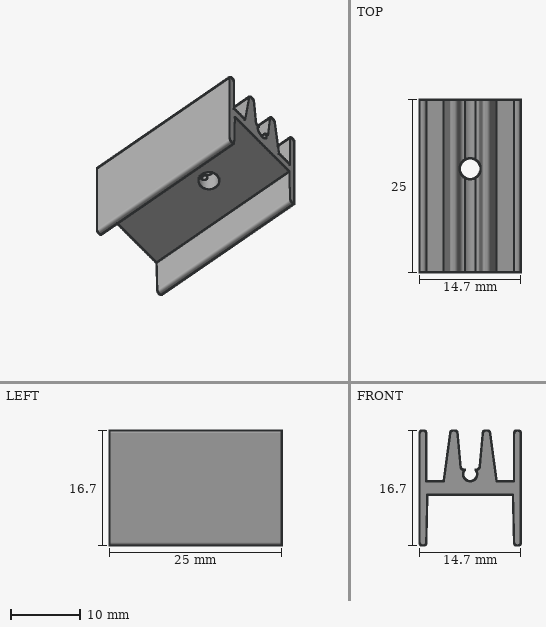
import cadquery as cq
import math

WIDTH = 14.7
LENGTH = 25.0
HEIGHT = 16.7

WEB_THICKNESS = 2.0
WEB_TOP = WEB_THICKNESS / 2
WEB_BOTTOM = -WEB_THICKNESS / 2

WALL_THICKNESS = 1.0
WALL_ROOT_THICKNESS = 1.17

FIN_OUTER_ROOT = 3.85
FIN_OUTER_TIP = 2.85
FIN_INNER_ROOT = 1.33
FIN_INNER_TIP = 1.85

TIP_RADIUS = 0.45

GROOVE_RADIUS = 1.0
GROOVE_HALF_MOUTH = 0.75
GROOVE_CENTER_Z = WEB_TOP + GROOVE_RADIUS
SHOULDER_Z = GROOVE_CENTER_Z + math.sqrt(GROOVE_RADIUS**2 - GROOVE_HALF_MOUTH**2)
SHOULDER_RADIUS = 0.45

HOLE_DIAMETER = 3.0
HOLE_Y = 2.5


def extrude_profile(sketch):
    """Extrude an XZ outline over the full length, centred on Y = 0."""
    return sketch.extrude(LENGTH / 2, both=True)


def make_body():
    """Sharp-cornered body with side walls, web and centre fins."""
    outer = WIDTH / 2
    inner = outer - WALL_THICKNESS
    inner_root = outer - WALL_ROOT_THICKNESS
    top = HEIGHT / 2
    bottom = -HEIGHT / 2
    right_half = [
        (0, WEB_BOTTOM),
        (inner_root, WEB_BOTTOM),
        (inner, bottom),
        (outer, bottom),
        (outer, top),
        (inner, top),
        (inner, WEB_TOP),
        (FIN_OUTER_ROOT, WEB_TOP),
        (FIN_OUTER_TIP, top),
        (FIN_INNER_TIP, top),
        (FIN_INNER_ROOT, SHOULDER_Z),
        (0, SHOULDER_Z),
    ]
    half = extrude_profile(cq.Workplane("XZ").polyline(right_half).close())
    return half.union(half.mirror("YZ")).clean()


def round_tips(body):
    """Round the free ends of all walls and fins."""
    body = body.edges("|Y and >Z").fillet(TIP_RADIUS)
    return body.edges("|Y and <Z").fillet(TIP_RADIUS)


def round_shoulders(body):
    """Blend the inner fin faces into the shoulders beside the groove."""
    for side in (-1, 1):
        corner = (side * FIN_INNER_ROOT, 0, SHOULDER_Z)
        body = body.edges(cq.NearestToPointSelector(corner)).fillet(SHOULDER_RADIUS)
    return body


def make_groove():
    """Round channel running the full length."""
    return extrude_profile(cq.Workplane("XZ").center(0, GROOVE_CENTER_Z).circle(GROOVE_RADIUS))


def make_hole():
    """Cutter passing vertically through the whole part."""
    return (
        cq.Workplane("XY")
        .center(0, HOLE_Y)
        .circle(HOLE_DIAMETER / 2)
        .extrude(HEIGHT / 2, both=True)
    )


rounded_body = round_shoulders(round_tips(make_body()))
result = rounded_body.cut(make_groove()).cut(make_hole())